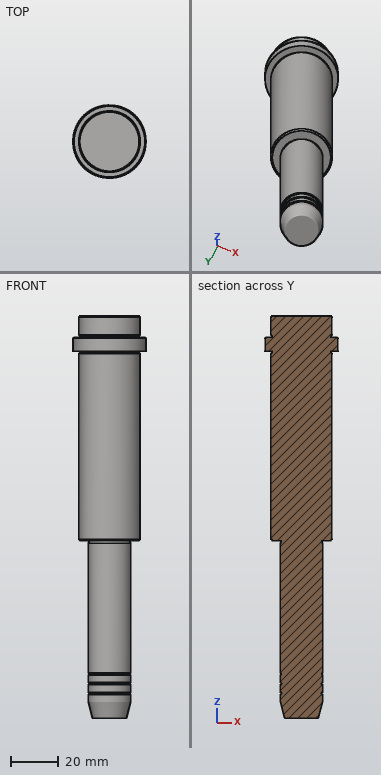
import cadquery as cq

total_length = 170.0
head_height = 9.0
flange_thickness = 6.0
shoulder_z = 75.0

flange_diameter = 31.0
body_diameter = 26.0
pin_diameter = 18.0
tip_diameter = 14.5

relief_width = 1.0
relief_depth = 0.5

ring_count = 3
ring_pitch = 4.0
lowest_ring_z = 10.5
ring_width = 1.0
ring_depth = 0.5

taper_height = 7.0
tip_fillet = 0.5
body_chamfer = 0.7
head_chamfer = 0.5
flange_chamfer = 0.5

flange_top_z = total_length - head_height
flange_bottom_z = flange_top_z - flange_thickness


def cylinder(diameter, bottom_z, top_z):
    """Cylinder on the Z axis between two heights."""
    return cq.Workplane("XY").workplane(offset=bottom_z).circle(diameter / 2).extrude(top_z - bottom_z)


def relief(diameter, wall_z, direction, slope_length):
    """Ring cut beside a shoulder at wall_z, its far side sloping out over slope_length.

    The ring extends from the shoulder up (direction 1) or down (direction -1).
    """
    outer = diameter / 2
    inner = outer - relief_depth
    slope_start_z = wall_z + direction * (relief_width - slope_length)
    far_z = wall_z + direction * relief_width
    section = [(outer, wall_z), (inner, wall_z), (outer, far_z)]
    if slope_length < relief_width:
        section.insert(2, (inner, slope_start_z))
    return cq.Workplane("XZ").polyline(section).close().revolve(360, (0, 0), (0, 1))


def ring_groove(center_z):
    """V-shaped ring cut around the pin."""
    outer = pin_diameter / 2
    section = [
        (outer, center_z - ring_width / 2),
        (outer - ring_depth, center_z),
        (outer, center_z + ring_width / 2),
    ]
    return cq.Workplane("XZ").polyline(section).close().revolve(360, (0, 0), (0, 1))


tip = (
    cq.Workplane("XY")
    .circle(tip_diameter / 2)
    .workplane(offset=taper_height)
    .circle(pin_diameter / 2)
    .loft(combine=True)
    .faces("<Z")
    .edges()
    .fillet(tip_fillet)
)

pin = cylinder(pin_diameter, taper_height, shoulder_z)
for index in range(ring_count):
    pin = pin.cut(ring_groove(lowest_ring_z + index * ring_pitch))
pin = pin.cut(relief(pin_diameter, shoulder_z, -1, relief_width))

body = cylinder(body_diameter, shoulder_z, flange_bottom_z).faces("<Z").edges().chamfer(body_chamfer)
body = body.cut(relief(body_diameter, flange_bottom_z, -1, relief_depth))

flange = cylinder(flange_diameter, flange_bottom_z, flange_top_z).faces(">Z").edges().chamfer(flange_chamfer)
head = cylinder(body_diameter, flange_top_z, total_length).faces(">Z").edges().chamfer(head_chamfer)
head = head.cut(relief(body_diameter, flange_top_z, 1, relief_depth))

result = tip.union(pin).union(body).union(flange).union(head)